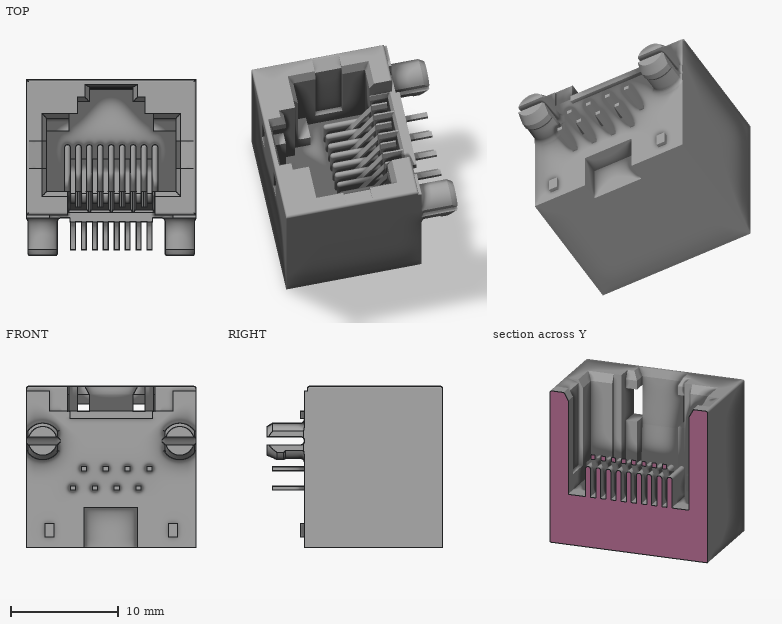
import cadquery as cq


CLEARANCE = 1.0

BODY_WIDTH = 15.75
BODY_DEPTH = 12.84
BODY_HEIGHT = 14.99
TOP_FILLET = 0.22
STEP_DEPTH = 0.28
STEP_HEIGHT = 0.42
RECESS_HALF_WIDTH = 5.73
SILL_Z = BODY_HEIGHT - 2.3

CAVITY_HALF_WIDTH = 6.0
CAVITY_FRONT_Y = 2.45
CAVITY_BACK_Y = 9.25
CAVITY_FLOOR_Z = 5.0
MOUTH_BEVEL = 0.44
MOUTH_BEVEL_DEPTH = 0.79
THROAT_HALF_WIDTH = 3.9
THROAT_BACK_Y = CAVITY_BACK_Y + MOUTH_BEVEL
SHOULDER_HALF_WIDTH = 3.13
SHOULDER_Y = 10.8
LATCH_HALF_WIDTH = 2.03
LATCH_BACK_Y = 12.16
LATCH_BEVEL = 0.42
LATCH_BACK_BEVEL = 0.22
LATCH_DRAFT = 0.24
LATCH_DRAFT_TOP_Z = 9.5

WINDOW_TOP_Z = 13.34
WINDOW_BOTTOM_Z = 10.15

LEDGE_Z = 6.55
LEDGE_FRONT_Y = 8.05
LEDGE_FILLET = 0.37

NOTCH_START_Y = 4.6
NOTCH_END_Y = 7.13
NOTCH_INNER_X = CAVITY_HALF_WIDTH + MOUTH_BEVEL
NOTCH_OUTER_X = 7.6
NOTCH_DROP = 0.36
NOTCH_FLOOR_Z = LEDGE_Z

COMB_HALF_WIDTH = 4.05
COMB_FRONT_Y = 0.5
COMB_FLOOR_Z = 10.3
COMB_GROOVE_Z = 9.3
COMB_BEVEL = 0.25
COMB_BEVEL_DEPTH = 0.5
CONTACT_COUNT = 8
CONTACT_PITCH = 1.016
PLATE_TOP_WIDTH = 0.14
PLATE_BASE_WIDTH = 0.5
PLATE_TOP_Z = SILL_Z - 0.1
PLATE_TAPER_Z = PLATE_TOP_Z - 0.6
SHORT_PLATE_FRONT_Y = 1.0
RIB_WIDTH = 0.53
RIB_END_Y = 6.8
RIB_TOP_Z = 8.0

CONTACT_WIDTH = 0.48
CONTACT_THICKNESS = 0.38
CONTACT_END_Y = 5.47
CONTACT_END_Z = 5.7
CONTACT_BEND_Y = 2.25
CONTACT_BEND_Z = 11.2
CONTACT_FRONT_Y = 1.35
CONTACT_BEND_DROP = 0.45
CONTACT_BEND_RUN = 0.3
PIN_LENGTH = 2.96
PIN_EMBED = 0.4
UPPER_PIN_Z = 7.33
LOWER_PIN_Z = 5.53

STANDOFF = 0.37
SILL_BAR_HALF_WIDTH = 3.85
SILL_BAR_HEIGHT = 0.71
FOOT_X = 5.74
FOOT_WIDTH = 0.84
FOOT_BOTTOM_Z = 0.98
FOOT_HEIGHT = 1.28
RELIEF_WIDTH = 4.95
RELIEF_CENTER_X = -0.05
RELIEF_HEIGHT = 3.75
RELIEF_DEPTH = 1.85

POST_X = 6.365
POST_Z = 9.92
POST_LENGTH = 3.47
POST_RADIUS = 1.64
POST_HALF_WIDTH = 1.37
POST_TIP_RADIUS = 1.33
POST_TIP_LENGTH = 0.54
POST_SLOT = 0.74
POST_BASE_FILLET = 0.34
BARB_RADIUS = 1.75
BARB_START = 1.73
BARB_RISE = 0.2
BARB_TAPER_LENGTH = 0.94


def block(x0, x1, y0, y1, z0, z1):
    """Box between two opposite corners."""
    return cq.Workplane("XY").box(x1 - x0, y1 - y0, z1 - z0, centered=False).translate((x0, y0, z0))


def middle_block(half_width, y0, y1, z0, z1):
    """Box centred on X = 0."""
    return block(-half_width, half_width, y0, y1, z0, z1)


def both_sides(shape):
    """The shape together with its mirror image across X = 0."""
    return shape.union(shape.mirror("YZ"))


def housing():
    body = middle_block(BODY_WIDTH / 2, 0, BODY_DEPTH, 0, BODY_HEIGHT)
    step_z = BODY_HEIGHT - STEP_HEIGHT
    step = middle_block(BODY_WIDTH, -CLEARANCE, STEP_DEPTH, step_z, BODY_HEIGHT + CLEARANCE)
    body = body.cut(step)
    body = body.faces(">Z").edges().fillet(TOP_FILLET)
    recess = middle_block(RECESS_HALF_WIDTH, -CLEARANCE, STEP_DEPTH, SILL_Z, BODY_HEIGHT)
    return body.cut(recess)


def mouth(half_width, y0, y1, front_bevel, side_bevel, back_bevel):
    """Bevelled entry that widens upward from a rectangle to the top face."""
    bevel_z = BODY_HEIGHT - MOUTH_BEVEL_DEPTH
    middle_y = (y0 + y1) / 2
    top_y0 = y0 - front_bevel
    top_y1 = y1 + back_bevel
    return (
        cq.Workplane("XY", origin=(0, middle_y, bevel_z))
        .rect(2 * half_width, y1 - y0)
        .workplane(offset=MOUTH_BEVEL_DEPTH)
        .center(0, (top_y0 + top_y1) / 2 - middle_y)
        .rect(2 * (half_width + side_bevel), top_y1 - top_y0)
        .loft(ruled=True)
    )


def cavity():
    floor, top = CAVITY_FLOOR_Z, BODY_HEIGHT
    space = middle_block(CAVITY_HALF_WIDTH, CAVITY_FRONT_Y, CAVITY_BACK_Y, floor, top)
    space = space.union(
        mouth(CAVITY_HALF_WIDTH, CAVITY_FRONT_Y, CAVITY_BACK_Y, MOUTH_BEVEL, MOUTH_BEVEL, MOUTH_BEVEL)
    )
    space = space.union(middle_block(THROAT_HALF_WIDTH, CAVITY_FRONT_Y, THROAT_BACK_Y, floor, top))
    space = space.union(middle_block(SHOULDER_HALF_WIDTH, CAVITY_FRONT_Y, SHOULDER_Y, floor, top))
    space = space.union(middle_block(LATCH_HALF_WIDTH, CAVITY_FRONT_Y, LATCH_BACK_Y, floor, top))
    bevel_z = BODY_HEIGHT - MOUTH_BEVEL_DEPTH
    shoulder_zone = middle_block(
        SHOULDER_HALF_WIDTH, SHOULDER_Y - CLEARANCE, BODY_DEPTH, bevel_z, BODY_HEIGHT
    )
    shoulder_bevel = mouth(
        SHOULDER_HALF_WIDTH, CAVITY_FRONT_Y, SHOULDER_Y, 0, MOUTH_BEVEL, LATCH_BEVEL
    ).intersect(shoulder_zone)
    space = space.union(shoulder_bevel)
    latch_mouth = mouth(
        LATCH_HALF_WIDTH, SHOULDER_Y - CLEARANCE, LATCH_BACK_Y, 0, LATCH_BEVEL, LATCH_BACK_BEVEL
    )
    return space.union(latch_mouth)


def latch_draft():
    """Wedge that leans the lower rear wall of the latch groove inward toward the floor."""
    front_y = LATCH_BACK_Y - LATCH_DRAFT
    return (
        cq.Workplane("YZ", origin=(-LATCH_HALF_WIDTH, 0, 0))
        .moveTo(front_y, CAVITY_FLOOR_Z)
        .lineTo(LATCH_BACK_Y, LATCH_DRAFT_TOP_Z)
        .lineTo(LATCH_BACK_Y, CAVITY_FLOOR_Z)
        .close()
        .extrude(2 * LATCH_HALF_WIDTH)
    )


def corner_ledge():
    """Raised floor in a rear corner, blended into the rear wall."""
    return (
        cq.Workplane("YZ", origin=(THROAT_HALF_WIDTH, 0, 0))
        .moveTo(LEDGE_FRONT_Y, CAVITY_FLOOR_Z)
        .lineTo(LEDGE_FRONT_Y, LEDGE_Z)
        .lineTo(CAVITY_BACK_Y - LEDGE_FILLET, LEDGE_Z)
        .radiusArc((CAVITY_BACK_Y, LEDGE_Z + LEDGE_FILLET), -LEDGE_FILLET)
        .lineTo(CAVITY_BACK_Y, CAVITY_FLOOR_Z)
        .close()
        .extrude(CAVITY_HALF_WIDTH - THROAT_HALF_WIDTH)
    )


def side_notch():
    """Recess in the side wall with a ramp running out to the top face."""
    return (
        cq.Workplane("XZ", origin=(0, NOTCH_END_Y, 0))
        .moveTo(0, BODY_HEIGHT)
        .lineTo(NOTCH_OUTER_X, BODY_HEIGHT)
        .lineTo(NOTCH_INNER_X, BODY_HEIGHT - NOTCH_DROP)
        .lineTo(NOTCH_INNER_X, NOTCH_FLOOR_Z)
        .lineTo(0, NOTCH_FLOOR_Z)
        .close()
        .extrude(NOTCH_END_Y - NOTCH_START_Y)
    )


def rear_window():
    return block(
        LATCH_HALF_WIDTH,
        SHOULDER_HALF_WIDTH,
        SHOULDER_Y - CLEARANCE,
        BODY_DEPTH + CLEARANCE,
        WINDOW_BOTTOM_Z,
        WINDOW_TOP_Z,
    )


def comb_channel():
    """Opening in the front wall over the sill, with a trough for the contact bends."""
    over_sill = middle_block(COMB_HALF_WIDTH, -CLEARANCE, CAVITY_FRONT_Y, SILL_Z, BODY_HEIGHT + CLEARANCE)
    trough = (
        cq.Workplane("YZ", origin=(-COMB_HALF_WIDTH, 0, 0))
        .moveTo(COMB_FRONT_Y, SILL_Z)
        .lineTo(COMB_FRONT_Y + COMB_BEVEL, SILL_Z - COMB_BEVEL_DEPTH)
        .lineTo(COMB_FRONT_Y + COMB_BEVEL, COMB_GROOVE_Z)
        .lineTo(CONTACT_FRONT_Y, COMB_FLOOR_Z)
        .lineTo(CAVITY_FRONT_Y, COMB_FLOOR_Z)
        .lineTo(CAVITY_FRONT_Y, SILL_Z)
        .close()
        .extrude(2 * COMB_HALF_WIDTH)
    )
    return over_sill.union(trough)


def comb_plate(x, front_y):
    """Tapered divider between two contact bends."""
    return (
        cq.Workplane("XZ", origin=(x, CAVITY_FRONT_Y, 0))
        .moveTo(-PLATE_BASE_WIDTH / 2, COMB_GROOVE_Z)
        .lineTo(PLATE_BASE_WIDTH / 2, COMB_GROOVE_Z)
        .lineTo(PLATE_BASE_WIDTH / 2, PLATE_TAPER_Z)
        .lineTo(PLATE_TOP_WIDTH / 2, PLATE_TOP_Z)
        .lineTo(-PLATE_TOP_WIDTH / 2, PLATE_TOP_Z)
        .lineTo(-PLATE_BASE_WIDTH / 2, PLATE_TAPER_Z)
        .close()
        .extrude(CAVITY_FRONT_Y - front_y)
    )


def floor_rib(x):
    """Rib on the cavity floor with a rounded top and a rounded end."""
    radius = RIB_WIDTH / 2
    shoulder_z = RIB_TOP_Z - radius
    end_y = RIB_END_Y - radius
    wall = block(x - radius, x + radius, CAVITY_FRONT_Y, end_y, CAVITY_FLOOR_Z, shoulder_z)
    crown = cq.Workplane("XZ", origin=(x, CAVITY_FRONT_Y, shoulder_z)).circle(radius)
    crown = crown.extrude(CAVITY_FRONT_Y - end_y)
    end = cq.Workplane("XY", origin=(x, end_y, CAVITY_FLOOR_Z)).circle(radius)
    end = end.extrude(shoulder_z - CAVITY_FLOOR_Z)
    tip = cq.Workplane("XY").sphere(radius).translate((x, end_y, shoulder_z))
    return wall.union(crown).union(end).union(tip)


def contact(x):
    """Spring contact: rises from the trough, bends over and slopes into the cavity."""
    return (
        cq.Workplane("YZ", origin=(x - CONTACT_WIDTH / 2, 0, 0))
        .moveTo(CONTACT_FRONT_Y, COMB_FLOOR_Z)
        .lineTo(CONTACT_FRONT_Y, CONTACT_BEND_Z - CONTACT_BEND_DROP)
        .threePointArc(
            (CONTACT_FRONT_Y + CONTACT_BEND_RUN, CONTACT_BEND_Z),
            (CONTACT_BEND_Y, CONTACT_BEND_Z),
        )
        .lineTo(CONTACT_END_Y, CONTACT_END_Z)
        .lineTo(CONTACT_END_Y, CONTACT_END_Z - CONTACT_THICKNESS)
        .lineTo(CAVITY_FRONT_Y, COMB_FLOOR_Z)
        .close()
        .extrude(CONTACT_WIDTH)
    )


def pin(x, z):
    half_width, half_height = CONTACT_WIDTH / 2, CONTACT_THICKNESS / 2
    return block(x - half_width, x + half_width, -PIN_LENGTH, PIN_EMBED, z - half_height, z + half_height)


def turned(outline):
    """Solid of revolution about the Y axis from an outline that starts and ends on it."""
    return cq.Workplane("XY").polyline(outline).close().revolve(360, (0, 0, 0), (0, 1, 0))


def post():
    """Split round post with flat sides; its lower half carries a snap barb."""
    upper = turned(
        [
            (0, 0),
            (POST_RADIUS, 0),
            (POST_RADIUS, -(POST_LENGTH - POST_TIP_LENGTH)),
            (POST_TIP_RADIUS, -POST_LENGTH),
            (0, -POST_LENGTH),
        ]
    )
    lower = turned(
        [
            (0, 0),
            (POST_RADIUS, 0),
            (POST_RADIUS, -BARB_START),
            (BARB_RADIUS, -(BARB_START + BARB_RISE)),
            (BARB_RADIUS, -(POST_LENGTH - BARB_TAPER_LENGTH)),
            (POST_TIP_RADIUS, -POST_LENGTH),
            (0, -POST_LENGTH),
        ]
    )
    upper_half = middle_block(2 * POST_RADIUS, -POST_LENGTH, 0, 0, 2 * POST_RADIUS)
    lower_half = middle_block(2 * POST_RADIUS, -POST_LENGTH, 0, -2 * POST_RADIUS, 0)
    shank = upper.intersect(upper_half).union(lower.intersect(lower_half))
    flats = middle_block(POST_HALF_WIDTH, -POST_LENGTH, 0, -2 * POST_RADIUS, 2 * POST_RADIUS)
    slot = middle_block(2 * POST_RADIUS, -POST_LENGTH, 0, -POST_SLOT / 2, POST_SLOT / 2)
    shank = shank.intersect(flats).cut(slot)
    base_half_size = POST_RADIUS + 2 * POST_BASE_FILLET
    base = middle_block(base_half_size, 0, STEP_DEPTH, -base_half_size, base_half_size)
    root_reach = POST_RADIUS + POST_BASE_FILLET
    root_margin = 0.01
    root = cq.selectors.BoxSelector(
        (-root_reach, -root_margin, -root_reach),
        (root_reach, root_margin, root_reach),
    )
    blended = base.union(shank).edges(root).fillet(POST_BASE_FILLET)
    placed = blended.translate((POST_X, 0, POST_Z))
    return placed.intersect(block(0, BODY_WIDTH / 2, -POST_LENGTH, STEP_DEPTH, 0, BODY_HEIGHT))


def board_side_relief():
    half_width = RELIEF_WIDTH / 2
    return block(
        RELIEF_CENTER_X - half_width,
        RELIEF_CENTER_X + half_width,
        -CLEARANCE,
        RELIEF_DEPTH,
        -CLEARANCE,
        RELIEF_HEIGHT,
    )


def foot():
    return block(
        FOOT_X - FOOT_WIDTH / 2,
        FOOT_X + FOOT_WIDTH / 2,
        -STANDOFF,
        STEP_DEPTH,
        FOOT_BOTTOM_Z,
        FOOT_BOTTOM_Z + FOOT_HEIGHT,
    )


jack = housing().cut(cavity()).union(latch_draft()).union(both_sides(corner_ledge()))
jack = jack.cut(both_sides(side_notch())).cut(both_sides(rear_window()))
jack = jack.cut(comb_channel()).cut(board_side_relief())

for i in range(CONTACT_COUNT + 1):
    rib_x = (i - CONTACT_COUNT / 2) * CONTACT_PITCH
    plate_front_y = SHORT_PLATE_FRONT_Y if i % 2 else COMB_FRONT_Y
    jack = jack.union(floor_rib(rib_x)).union(comb_plate(rib_x, plate_front_y))

for i in range(CONTACT_COUNT):
    contact_x = (i - (CONTACT_COUNT - 1) / 2) * CONTACT_PITCH
    pin_z = UPPER_PIN_Z if i % 2 else LOWER_PIN_Z
    jack = jack.union(contact(contact_x)).union(pin(contact_x, pin_z))

sill_bar = middle_block(SILL_BAR_HALF_WIDTH, -STANDOFF, COMB_FRONT_Y, SILL_Z - SILL_BAR_HEIGHT, SILL_Z)
result = jack.union(sill_bar).union(both_sides(foot())).union(both_sides(post()))